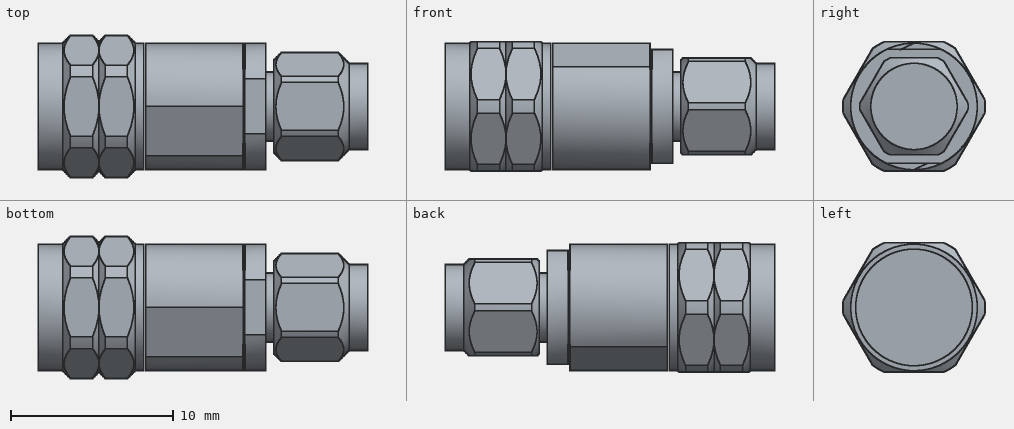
import cadquery as cq
import math

OVERALL_LENGTH = 20.35

NUT_LENGTH = 6.53
NUT_HEX_START = 1.5
NUT_HEX_END = 6.0
NUT_HEX_MIDDLE = (NUT_HEX_START + NUT_HEX_END) / 2
NUT_RADIUS = 3.9
NUT_ACROSS_FLATS = 8.0
NUT_CORNER_RADIUS = 4.4
NUT_GROOVE_RADIUS = NUT_ACROSS_FLATS / 2
NUT_BORE_RADIUS = 3.6
NUT_BORE_DEPTH = 2.48

BODY_GAP = 0.1
BARREL_START = NUT_LENGTH + BODY_GAP
BARREL_END = 12.65
BARREL_RADIUS = NUT_RADIUS
FLANGE_START = 12.75
FLANGE_END = 14.06
WRENCH_FLAT_OFFSET = 3.52
GROOVE_RADIUS = 2.3
NECK_RADIUS = 2.14
BODY_HEX_START = 14.53
BODY_HEX_END = 19.2
BODY_HEX_ACROSS_FLATS = 5.98
BODY_HEX_CORNER_RADIUS = 3.34
BODY_HEX_REAR_RADIUS = 2.85
COLLAR_RADIUS = 2.67

BARREL_FLAT_ANGLE = math.degrees(math.acos(WRENCH_FLAT_OFFSET / BARREL_RADIUS))


def cylinder(start, end, radius):
    """Round bar along X."""
    return cq.Workplane("YZ", origin=(start, 0, 0)).circle(radius).extrude(end - start)


def chamfered_hexagon(start, end, across_flats, corner_radius, start_radius, end_radius):
    """Hexagon bar along X, flats facing up and down, corners turned round with 45 degree end cones."""
    across_corners = across_flats / math.cos(math.pi / 6)
    prism = cq.Workplane("YZ", origin=(start, 0, 0)).polygon(6, across_corners).extrude(end - start)
    turned_envelope = (
        cq.Workplane("XY")
        .moveTo(start, 0)
        .lineTo(start, start_radius)
        .lineTo(start + corner_radius - start_radius, corner_radius)
        .lineTo(end - corner_radius + end_radius, corner_radius)
        .lineTo(end, end_radius)
        .lineTo(end, 0)
        .close()
        .revolve(360, (0, 0, 0), (1, 0, 0))
    )
    return prism.intersect(turned_envelope)


def double_flatted_cylinder(start, end, radius, flat_angle):
    """Round bar with two opposite wrench flats, turned about X from facing up and down."""
    length = end - start
    slab = (
        cq.Workplane("YZ", origin=(start, 0, 0))
        .rect(2 * radius, 2 * WRENCH_FLAT_OFFSET)
        .extrude(length)
        .rotate((0, 0, 0), (1, 0, 0), flat_angle)
    )
    return cylinder(start, end, radius).intersect(slab)


def make_coupling_nut():
    front_hexagon = chamfered_hexagon(
        NUT_HEX_START, NUT_HEX_MIDDLE, NUT_ACROSS_FLATS, NUT_CORNER_RADIUS, NUT_RADIUS, NUT_GROOVE_RADIUS
    )
    rear_hexagon = chamfered_hexagon(
        NUT_HEX_MIDDLE, NUT_HEX_END, NUT_ACROSS_FLATS, NUT_CORNER_RADIUS, NUT_GROOVE_RADIUS, NUT_RADIUS
    )
    outside = cylinder(0, NUT_LENGTH, NUT_RADIUS).union(front_hexagon).union(rear_hexagon)
    return outside.cut(cylinder(0, NUT_BORE_DEPTH, NUT_BORE_RADIUS))


def make_adapter_body():
    barrel = double_flatted_cylinder(BARREL_START, BARREL_END, BARREL_RADIUS, BARREL_FLAT_ANGLE)
    groove = cylinder(BARREL_END, FLANGE_START, GROOVE_RADIUS)
    flange = double_flatted_cylinder(FLANGE_START, FLANGE_END, BARREL_RADIUS, 0)
    neck = cylinder(FLANGE_END, BODY_HEX_START, NECK_RADIUS)
    hexagon = chamfered_hexagon(
        BODY_HEX_START,
        BODY_HEX_END,
        BODY_HEX_ACROSS_FLATS,
        BODY_HEX_CORNER_RADIUS,
        BODY_HEX_REAR_RADIUS,
        COLLAR_RADIUS,
    )
    collar = cylinder(BODY_HEX_END, OVERALL_LENGTH, COLLAR_RADIUS)
    return barrel.union(groove).union(flange).union(neck).union(hexagon).union(collar)


coupling_nut = make_coupling_nut()
adapter_body = make_adapter_body()
result = cq.Compound.makeCompound([coupling_nut.val(), adapter_body.val()])